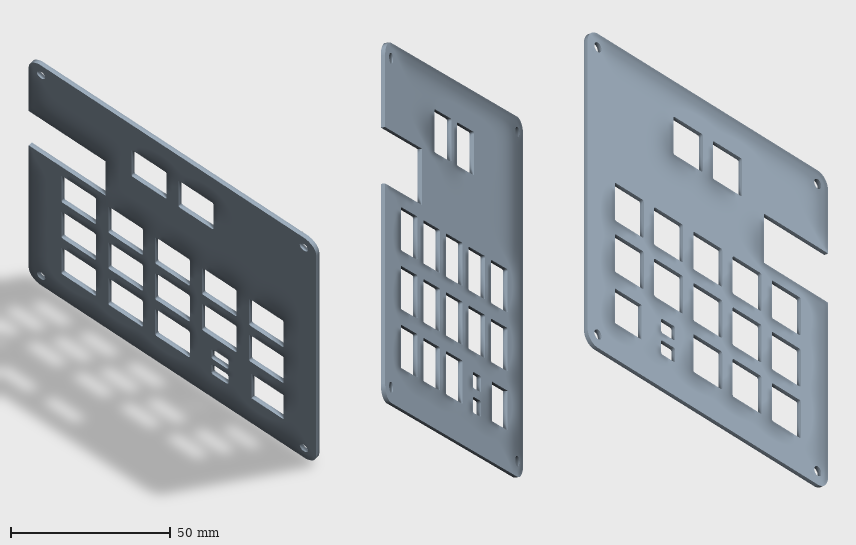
import cadquery as cq

WIDTH = 116.4
HEIGHT = 116.3
THICKNESS = 1.5
CORNER_RADIUS = 5.0

HOLE_DIAMETER = 3.4
HOLE_SPACING_X = WIDTH - 2 * CORNER_RADIUS
HOLE_SPACING_Z = HEIGHT - 2 * CORNER_RADIUS

KEY_PITCH = 19.0
KEY_SIZE = 14.0
KEY_CORNER_RADIUS = 0.65
FULL_ROW_COLUMNS = (-2, -1, 0, 1, 2)
SHORT_ROW_COLUMNS = (-2, -1, 0)
TOP_ROW_COLUMNS = (-0.5, 0.5)
TOP_KEY_WIDTH = 14.2

ENCODER_WIDTH = 13.0
ENCODER_HEIGHT = 12.8
ENCODER_RIGHT = 2 * KEY_PITCH + KEY_SIZE / 2
ENCODER_BOTTOM = -2 * KEY_PITCH - KEY_SIZE / 2

SMALL_WIDTH = 6.8
SMALL_HEIGHT = 5.2
SMALL_CORNER_RADIUS = 0.8
SMALL_X = 19.2
SMALL_PITCH = 8.0
SMALL_PAIR_Z = -39.2

NOTCH_DEPTH = 31.1
NOTCH_HEIGHT = 18.2
NOTCH_CENTER_Z = 20.7


def block(width, height, x=0.0, z=0.0, corner_radius=0.0):
    """Rectangular block of plate thickness, centred at (x, z), with rounded corners if asked."""
    body = cq.Workplane("XY").box(width, THICKNESS, height)
    if corner_radius > 0:
        body = body.edges("|Y").fillet(corner_radius)
    return body.translate((x, 0, z))


def cut_key_row(plate, row, columns, width=KEY_SIZE):
    """Cut one row of switch openings at the given grid columns."""
    for column in columns:
        plate = plate.cut(block(width, KEY_SIZE, column * KEY_PITCH, row * KEY_PITCH, KEY_CORNER_RADIUS))
    return plate


def cut_mounting_holes(plate):
    """Drill one through hole in each corner."""
    return (
        plate.faces("<Y").workplane(centerOption="CenterOfBoundBox")
        .rect(HOLE_SPACING_X, HOLE_SPACING_Z, forConstruction=True)
        .vertices()
        .hole(HOLE_DIAMETER)
    )


def cut_encoder(plate):
    """Cut the encoder opening at the lower end of the last column."""
    center_x = ENCODER_RIGHT - ENCODER_WIDTH / 2
    center_z = ENCODER_BOTTOM + ENCODER_HEIGHT / 2
    return plate.cut(block(ENCODER_WIDTH, ENCODER_HEIGHT, center_x, center_z))


def cut_small_pair(plate):
    """Cut the two small stacked openings."""
    for side in (-1, 1):
        center_z = SMALL_PAIR_Z + side * SMALL_PITCH / 2
        plate = plate.cut(block(SMALL_WIDTH, SMALL_HEIGHT, SMALL_X, center_z, SMALL_CORNER_RADIUS))
    return plate


def cut_notch(plate):
    """Cut the rectangular notch in from the -X edge."""
    center_x = -WIDTH / 2 + NOTCH_DEPTH / 2
    return plate.cut(block(NOTCH_DEPTH, NOTCH_HEIGHT, center_x, NOTCH_CENTER_Z))


plate = block(WIDTH, HEIGHT, corner_radius=CORNER_RADIUS)
plate = cut_mounting_holes(plate)
plate = cut_key_row(plate, 2, TOP_ROW_COLUMNS, TOP_KEY_WIDTH)
plate = cut_key_row(plate, 0, FULL_ROW_COLUMNS)
plate = cut_key_row(plate, -1, FULL_ROW_COLUMNS)
plate = cut_key_row(plate, -2, SHORT_ROW_COLUMNS)
plate = cut_encoder(plate)
plate = cut_small_pair(plate)
plate = cut_notch(plate)

result = plate